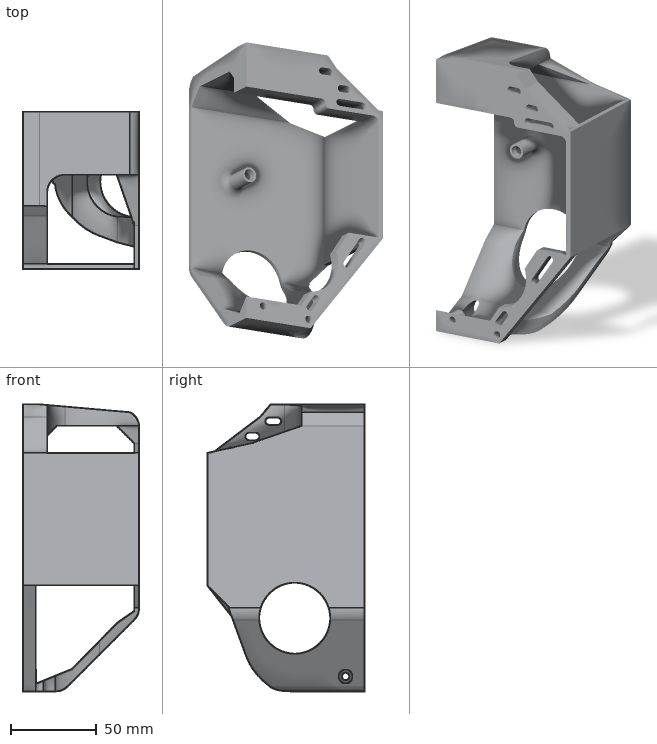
import cadquery as cq
import math

width = 68.0
depth = 91.84
height = 167.73
wall = 3.0
inner_x = width - wall

front_bottom = 61.9
front_top = 139.3
seam_z = 49.0
block_width = 14.4
roof_underside = 155.1
roof_flat = 9.6
roof_slope = math.radians(5)
roof_edge_x = 62.6
roof_edge_radius = 10.0
roof_front = 55.0
roof_corner_radius = 10.0
block_gusset = 5.5
wall_gusset = 10.2
wall_bend = (25.6, roof_underside - wall_gusset)
block_nose_y = 37.0
block_bend = (31.0, 160.5)
block_low_z = 135.5
block_high_z = 140.8
block_step_y = 38.5
block_step_radius = 2.6
block_corner_radius = 4.0

boss_y = 64.2
boss_z = 102.7
boss_diameter = 9.0
boss_bore = 6.5
boss_length = 20.0
boss_fillet = 4.0

screw_clearance = 4.2
block_slots = [
    ((36.1, 157.8), (40.9, 157.8)),
    ((24.4, 148.9), (28.2, 148.9)),
    ((13.8, 140.3), (29.2, 140.3)),
]
ear_slots = [
    ((14.1, 57.9), (24.5, 42.7)),
    ((44.9, 18.5), (49.3, 12.5)),
]
tip_hole_y = 50.1
tip_hole_z = 5.2

ear_thickness = 7.6
strip_height = 13.0
strip_front = 48.7
ear_top_back = 23.1
ear_foot_back = 54.9
opening_y = 51.0
opening_z = 42.8
opening_diameter = 41.3
slope_foot_x = 23.2
bend_radius = 10.0
floor_gutter = (8.2, 4.8)
floor_low_bend = (28.8, 13.2)
floor_high_bend = (55.3, 40.2)
floor_inner_top = 47.0
rim_lean = math.tan(math.radians(20))
rim_front_y = 30.1
rim_arc_start_x = 44.6
rim_arc_middle = (28.7, 35.3)
rim_arc_end = (18.9, 51.5)
foot_front_x = 12.0
foot_slant_y = 57.0
foot_rim_y = 49.0
foot_back_y = 62.0
mount_y = 80.7
mount_z = 8.8
mount_diameter = 8.0
mount_length = 8.0


def along_x(outline, start, length):
    """Prism along +X from a (Y, Z) outline."""
    return cq.Workplane("YZ", origin=(start, 0, 0)).polyline(outline).close().extrude(length)


def rod(diameter, y, z, start, length):
    """Cylinder along +X."""
    return cq.Workplane("YZ", origin=(start, 0, 0)).center(y, z).circle(diameter / 2).extrude(length)


def slot_cutter(ends, length):
    """Screw slot along +X between two end centres (Y, Z)."""
    (y1, z1), (y2, z2) = ends
    overall = math.hypot(y2 - y1, z2 - z1) + screw_clearance
    angle = math.degrees(math.atan2(z2 - z1, y2 - y1))
    middle = cq.Workplane("YZ").center((y1 + y2) / 2, (z1 + z2) / 2)
    return middle.slot2D(overall, screw_clearance, angle).extrude(length)


def near(x, y, z):
    """Selector for the edge closest to a point."""
    return cq.selectors.NearestToPointSelector((x, y, z))



def make_roof_prism():
    """Full-depth prism under the roof's sloping top and rounded side edge."""
    edge_z = height - (roof_edge_x - roof_flat) * math.tan(roof_slope)
    return (
        cq.Workplane("XZ")
        .moveTo(0, block_low_z)
        .lineTo(0, height)
        .lineTo(roof_flat, height)
        .lineTo(roof_edge_x, edge_z)
        .radiusArc((width, roof_underside), roof_edge_radius)
        .lineTo(width, block_low_z)
        .close()
        .extrude(-depth)
    )


def make_roof_space():
    """Space that the roof fills: behind its front edge, and the rounded corner beside the block."""
    opening = (
        cq.Workplane("XY", origin=(block_width, 0, 0))
        .rect(width, roof_front, centered=False)
        .extrude(height)
        .edges("|Z and >Y and <X")
        .fillet(roof_corner_radius)
    )
    behind_nose = (
        cq.Workplane("XY", origin=(block_width, block_nose_y, 0))
        .rect(width - block_width, depth - block_nose_y, centered=False)
        .extrude(height)
    )
    return behind_nose.cut(opening)


def make_gusset(corner_x, size):
    """45 degree gusset under the roof, running in Y; a negative size reaches towards -X."""
    return (
        cq.Workplane("XZ")
        .moveTo(corner_x, roof_underside)
        .lineTo(corner_x + size, roof_underside)
        .lineTo(corner_x, roof_underside - abs(size))
        .close()
        .extrude(-depth)
    )


def make_side_wall():
    """Side wall and its gusset, under the sloping top edge in front of the roof."""
    outline = [
        (0, front_bottom), (0, front_top), wall_bend, (roof_front, roof_underside),
        (depth, roof_underside), (depth, seam_z), (front_bottom - seam_z, seam_z),
    ]
    slab = cq.Workplane("XY", origin=(inner_x, 0, 0)).rect(wall, depth, centered=False).extrude(height)
    slab = slab.union(make_gusset(inner_x, -wall_gusset))
    return along_x(outline, 0, width).intersect(slab)


def make_block():
    """Mounting block with a sloping front and a stepped underside."""
    outline = [
        (0, front_top), (wall, front_top), block_bend, (block_nose_y, height), (depth, height),
        (depth, block_high_z), (block_step_y, block_high_z), (block_step_y, block_low_z),
        (0, block_low_z),
    ]
    block = along_x(outline, 0, block_width)
    for step_z in (block_high_z, block_low_z):
        block = block.edges(near(block_width / 2, block_step_y, step_z)).fillet(block_step_radius)
    return block


def make_corner_fillet():
    """Rounded inside corner between the block and the front plate."""
    square = (
        cq.Workplane("YZ", origin=(0, wall, block_low_z - block_corner_radius))
        .rect(block_corner_radius, block_corner_radius, centered=False)
        .extrude(block_width)
    )
    round_y = wall + block_corner_radius
    round_z = block_low_z - block_corner_radius
    return square.cut(rod(2 * block_corner_radius, round_y, round_z, 0, block_width))


def make_boss():
    """Bored boss on the inside of the side wall, flared at its foot."""
    radius = boss_diameter / 2
    return (
        cq.Workplane("XY", origin=(0, boss_y, boss_z))
        .moveTo(width, 0)
        .lineTo(width, radius + boss_fillet)
        .lineTo(inner_x, radius + boss_fillet)
        .radiusArc((inner_x - boss_fillet, radius), boss_fillet)
        .lineTo(inner_x - boss_length, radius)
        .lineTo(inner_x - boss_length, boss_bore / 2)
        .lineTo(inner_x, boss_bore / 2)
        .lineTo(inner_x, 0)
        .close()
        .revolve(360, (0, 0, 0), (1, 0, 0))
    )


def make_shell():
    """Front plate, side wall, roof, block and boss as one solid."""
    front_plate = (
        cq.Workplane("XY", origin=(0, 0, front_bottom))
        .rect(width, wall, centered=False)
        .extrude(front_top - front_bottom)
    )
    roof_prism = make_roof_prism()
    above_underside = (
        cq.Workplane("XY", origin=(0, 0, roof_underside))
        .rect(width, depth, centered=False)
        .extrude(height - roof_underside)
    )
    roof = roof_prism.intersect(above_underside).union(make_gusset(block_width, block_gusset))
    shell = (
        roof.intersect(make_roof_space())
        .union(make_block().intersect(roof_prism))
        .union(make_side_wall())
        .union(front_plate)
        .union(make_corner_fillet())
        .union(make_boss())
    )
    shell = shell.cut(rod(opening_diameter, opening_y, opening_z, inner_x, wall))
    for ends in block_slots:
        shell = shell.cut(slot_cutter(ends, block_width))
    return shell



def make_floor_section():
    """Sloping floor and the foot of the side wall, as a prism along the full depth."""
    bend_x = width - slope_foot_x
    floor = (
        cq.Workplane("XZ")
        .polyline([
            (0, 0), (slope_foot_x, 0), (width, bend_x), (width, seam_z), (inner_x, seam_z),
            (inner_x, floor_inner_top), floor_high_bend, floor_low_bend, floor_gutter,
            (0, floor_gutter[0] + floor_gutter[1]),
        ])
        .close()
        .extrude(-depth)
    )
    floor = floor.edges(near(slope_foot_x, depth / 2, 0)).fillet(bend_radius)
    return floor.edges(near(width, depth / 2, bend_x)).fillet(bend_radius)


def make_rim_prism():
    """Prism inside the floor's leaning rim, with a rounded front corner."""
    outline = (
        cq.Workplane("XY")
        .moveTo(0, 2 * depth)
        .lineTo(width, 2 * depth)
        .lineTo(width, rim_front_y)
        .lineTo(rim_arc_start_x, rim_front_y)
        .threePointArc(rim_arc_middle, rim_arc_end)
        .lineTo(rim_arc_end[0], foot_back_y)
        .lineTo(0, foot_back_y)
        .close()
    )
    face = cq.Face.makeFromWires(outline.val())
    return cq.Workplane(cq.Solid.extrudeLinear(face, cq.Vector(0, -rim_lean * seam_z, seam_z)))


def make_foot_prism():
    """Upright prism that carries the floor forward to the hole at the ear's tip."""
    return (
        cq.Workplane("XY")
        .polyline([
            (0, tip_hole_y), (foot_front_x, tip_hole_y), (foot_front_x, foot_slant_y),
            (rim_arc_end[0], foot_rim_y), (rim_arc_end[0], foot_back_y), (0, foot_back_y),
        ])
        .close()
        .extrude(seam_z)
    )


def make_ear():
    """Slotted mounting ear, in line with the shell's block."""
    outline = [
        (strip_front, 0), (0, front_bottom), (ear_top_back, front_bottom),
        (ear_foot_back, strip_height), (ear_foot_back, 0),
    ]
    return along_x(outline, 0, ear_thickness)


def make_scoop():
    """Sloping floor, ear and screw mount as one solid."""
    floor_space = make_rim_prism().union(make_foot_prism())
    scoop = make_floor_section().intersect(floor_space).union(make_ear())
    scoop = scoop.cut(rod(opening_diameter, opening_y, opening_z, 0, width))
    scoop = scoop.cut(rod(mount_diameter, mount_y, mount_z, mount_length, width))
    scoop = scoop.union(rod(mount_diameter, mount_y, mount_z, 0, mount_length))
    scoop = scoop.cut(rod(screw_clearance, mount_y, mount_z, 0, mount_length))
    scoop = scoop.cut(rod(screw_clearance, tip_hole_y, tip_hole_z, 0, ear_thickness))
    for ends in ear_slots:
        scoop = scoop.cut(slot_cutter(ends, ear_thickness))
    return scoop


shell = make_shell()
scoop = make_scoop()
result = cq.Compound.makeCompound([shell.val(), scoop.val()])